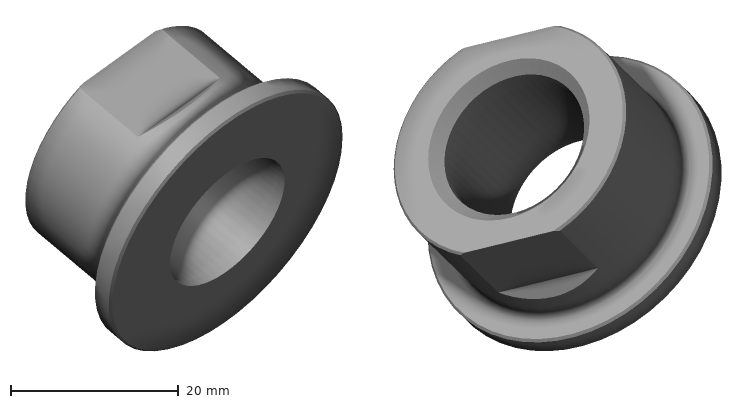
import cadquery as cq

total_length = 19.0
flange_diameter = 38.0
flange_thickness = 3.0
barrel_diameter = 31.0
bore_diameter = 18.62
bore_mouth_diameter = 21.5
edge_chamfer = 0.3
root_fillet = 0.8

flat_spacing = 28.0
flat_length = 10.5

flange_face = total_length - flange_thickness
flange_radius = flange_diameter / 2
barrel_radius = barrel_diameter / 2
bore_radius = bore_diameter / 2
mouth_radius = bore_mouth_diameter / 2
mouth_depth = mouth_radius - bore_radius


def make_body():
    """Revolve the half section, drawn as (axial position, radius), about X."""
    return (
        cq.Workplane("XY")
        .moveTo(0, mouth_radius)
        .lineTo(0, barrel_radius - edge_chamfer)
        .lineTo(edge_chamfer, barrel_radius)
        .lineTo(flange_face - root_fillet, barrel_radius)
        .radiusArc((flange_face, barrel_radius + root_fillet), -root_fillet)
        .lineTo(flange_face, flange_radius - edge_chamfer)
        .lineTo(flange_face + edge_chamfer, flange_radius)
        .lineTo(total_length - edge_chamfer, flange_radius)
        .lineTo(total_length, flange_radius - edge_chamfer)
        .lineTo(total_length, bore_radius)
        .lineTo(mouth_depth, bore_radius)
        .close()
        .revolve(360, (0, 0, 0), (1, 0, 0))
    )


def make_flat_cutter(side):
    """Wedge that cuts one flat; side is +1 for the top and -1 for the bottom."""
    flat_height = flat_spacing / 2
    ramp_rise = barrel_radius - flat_height
    return (
        cq.Workplane("XZ")
        .moveTo(0, side * flat_height)
        .lineTo(flat_length, side * flat_height)
        .lineTo(flat_length + ramp_rise, side * barrel_radius)
        .lineTo(0, side * barrel_radius)
        .close()
        .extrude(barrel_radius, both=True)
    )


result = make_body()
for side in (1, -1):
    result = result.cut(make_flat_cutter(side))